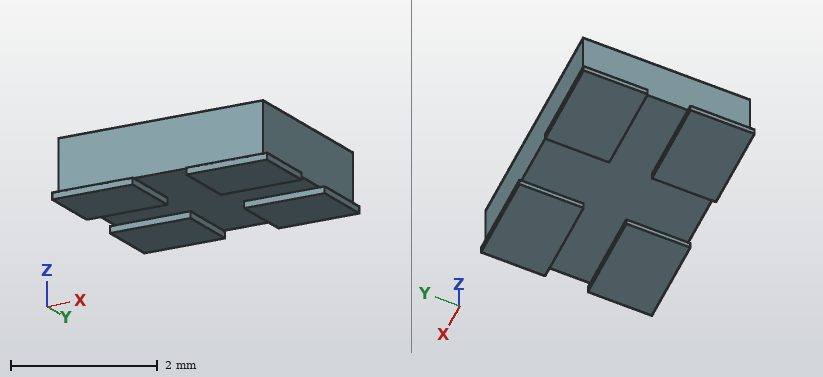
import cadquery as cq

body_length = 3.2
body_width = 2.5

pad_length = 1.26
pad_width = 0.96
pad_thickness = 0.1
pad_span_x = 3.36
pad_span_y = 2.56

overall_height = 0.88
body_height = overall_height - pad_thickness


def make_body():
    """Plain rectangular package resting on top of the pads."""
    return (
        cq.Workplane("XY")
        .workplane(offset=pad_thickness)
        .rect(body_length, body_width)
        .extrude(body_height)
    )


def make_pad(side_x, side_y):
    """Flat pad whose outer corner lies on the corner of the pad span."""
    center_x = side_x * (pad_span_x - pad_length) / 2
    center_y = side_y * (pad_span_y - pad_width) / 2
    return (
        cq.Workplane("XY")
        .center(center_x, center_y)
        .rect(pad_length, pad_width)
        .extrude(pad_thickness)
    )


body = make_body()
pads = [make_pad(side_x, side_y) for side_x in (-1, 1) for side_y in (-1, 1)]

result = cq.Compound.makeCompound([body.val(), *[pad.val() for pad in pads]])